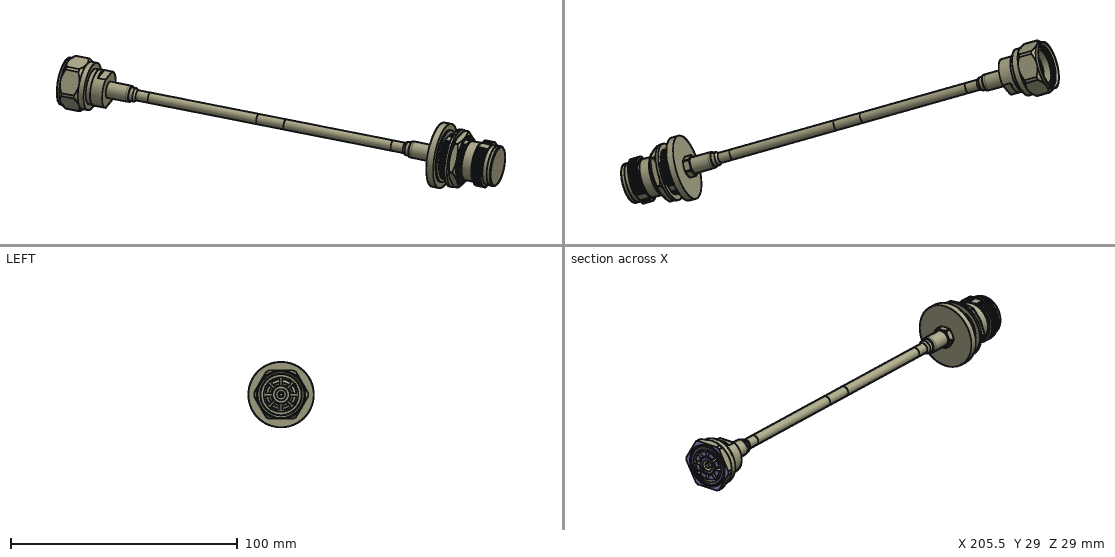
import cadquery as cq
import math


NUT_LENGTH = 12.7
PLUG_BACK = 20.5
CABLE_START = 39.9
CABLE_END = 155.4
SLEEVE_START = 91.5
SLEEVE_END = 104.4
COLLAR_START = 174.0
FLANGE_START = 177.1
FLANGE_END = 180.5
SEAL_END = 181.0
WASHER_START = 185.2
WASHER_THICKNESS = 1.2
PANEL_NUT_START = WASHER_START + WASHER_THICKNESS
PANEL_NUT_LENGTH = 3.5
NECK_START = 191.1
MATING_THREAD_START = 196.9
TIP_START = 201.5
TIP_LINE = 203.7
JACK_END = 205.5

NUT_RADIUS = 10.7
NUT_CORNER_RADIUS = 12.0
NUT_HEX_START = 1.2
NUT_HEX_END = 10.0
NUT_HEX_CHAMFER = 1.5
NUT_THREAD_BORE = 9.2
NUT_THREAD_ROOT = 9.9
NUT_MOUTH_RADIUS = 10.3
NUT_THREAD_START = 0.8
NUT_BORE_DEPTH = 9.0

PLUG_NECK_RADIUS = 8.0
PLUG_HEAD_RADIUS = 8.2
PLUG_NECK_END = 14.8
PLUG_FLAT_START = 16.9
PLUG_FLAT_HEIGHT = 7.2
PLUG_RIM_RADIUS = 9.0
PLUG_RIM_BORE = 7.6
PLUG_RIM_FRONT = 2.5
PLUG_CAVITY_FLOOR = 10.3
BASKET_RADIUS = 6.8
BASKET_BORE = 4.3
BASKET_TIP_RADIUS = 5.3
BASKET_TIP_LENGTH = 0.8
SLOT_COUNT = 8
BASKET_FRONT = 5.0
SLOT_WIDTH = 1.2
INSULATOR_RADIUS = 4.0
INSULATOR_BORE = 2.5
INSULATOR_FRONT = 6.2
PIN_RADIUS = 1.2
PIN_TIP_RADIUS = 0.8
PIN_TIP_LENGTH = 1.0
PIN_FRONT = 3.3

CABLE_RADIUS = 2.36
SLEEVE_THICKNESS = 0.6
FERRULE_RADIUS = 3.7
FERRULE_LIP_RADIUS = 3.6
FERRULE_STEP_RADIUS = 3.0
FERRULE_TAIL = 5.8
FERRULE_CONE = 7.0
FERRULE_STEP = 8.8
FERRULE_LIP = 10.0

COLLAR_FLAT = 4.3
COLLAR_CORNER_RADIUS = 4.83
COLLAR_CHAMFER = 0.2
FLANGE_RADIUS = 14.49
SEAL_RADIUS = 11.7
THREAD_CREST = 10.3
THREAD_ROOT = 9.2
THREAD_PITCH = 1.0
JACK_FLAT_HEIGHT = 9.0
NECK_RADIUS = 8.8
NECK_CONE = 0.6
TIP_RADIUS = 9.0
TIP_STEP = 0.2
TIP_CHAMFER = 0.5

WASHER_RADIUS = 13.0
PANEL_NUT_FLAT = 11.0
PANEL_NUT_CORNER_RADIUS = 12.7
PANEL_NUT_CHAMFER = 1.0
PANEL_NUT_END_RADIUS = 10.9


def turned(profile):
    """Revolve a closed (x, radius) profile about the X axis."""
    return cq.Workplane("XY").polyline(profile).close().revolve(360, (0, 0), (1, 0))


def disc(start, end, radius):
    return turned([(start, 0), (start, radius), (end, radius), (end, 0)])


def ring(start, end, radius, bore):
    return turned([(start, bore), (start, radius), (end, radius), (end, bore)])


def hexagon(start, end, flat_distance):
    """Hexagonal bar along X with flats facing +Z and -Z."""
    corner_diameter = 2 * flat_distance / math.cos(math.pi / 6)
    return cq.Workplane("YZ", origin=(start, 0, 0)).polygon(6, corner_diameter).extrude(end - start)


def chamfered_hexagon(start, end, flat_distance, corner_radius, chamfer, end_radius):
    """Hexagonal bar whose corners are turned round and chamfered at both ends."""
    envelope = turned([
        (start, 0),
        (start, end_radius),
        (start + chamfer, corner_radius),
        (end - chamfer, corner_radius),
        (end, end_radius),
        (end, 0),
    ])
    return hexagon(start, end, flat_distance).intersect(envelope)


def between_flats(start, end, half_height, radius):
    """Slab that trims a round part to two flats facing +Z and -Z."""
    length = end - start
    return cq.Workplane("XY", origin=(start + length / 2, 0, 0)).box(length, 2 * radius, 2 * half_height)


def ferrule(tail_end, connector_end):
    """Stepped crimp ferrule; it may point either way along X."""
    direction = math.copysign(1, connector_end - tail_end)

    def at(distance):
        return tail_end + direction * distance

    return turned([
        (tail_end, 0),
        (tail_end, CABLE_RADIUS),
        (at(FERRULE_TAIL), CABLE_RADIUS),
        (at(FERRULE_CONE), FERRULE_STEP_RADIUS),
        (at(FERRULE_STEP), FERRULE_STEP_RADIUS),
        (at(FERRULE_STEP), FERRULE_LIP_RADIUS),
        (at(FERRULE_LIP), FERRULE_RADIUS),
        (connector_end, FERRULE_RADIUS),
        (connector_end, 0),
    ])


def thread_form(start, end, inner, outer):
    """Round bar with a row of flat-topped rings standing in for a thread."""
    count = round((end - start) / THREAD_PITCH)
    spacing = (end - start) / count
    profile = [(start, 0)]
    for i in range(count):
        valley = start + i * spacing
        profile.append((valley, inner))
        profile.append((valley + spacing / 4, inner))
        profile.append((valley + spacing / 2, outer))
        profile.append((valley + spacing * 3 / 4, outer))
    profile += [(end, inner), (end, 0)]
    return turned(profile)


def make_coupling_nut():
    nut = disc(0, NUT_LENGTH, NUT_RADIUS).union(chamfered_hexagon(
        NUT_HEX_START, NUT_HEX_END, NUT_RADIUS, NUT_CORNER_RADIUS, NUT_HEX_CHAMFER, NUT_RADIUS))
    mouth = turned([
        (0, 0),
        (0, NUT_MOUTH_RADIUS),
        (NUT_THREAD_START, NUT_THREAD_BORE),
        (NUT_THREAD_START, 0),
    ])
    thread = thread_form(NUT_THREAD_START, NUT_BORE_DEPTH, NUT_THREAD_BORE, NUT_THREAD_ROOT)
    neck_hole = disc(NUT_BORE_DEPTH, NUT_LENGTH, PLUG_NECK_RADIUS)
    return nut.cut(mouth).cut(thread).cut(neck_hole)


def make_contact_basket():
    """Ring of tapered contact fingers parted by radial slots."""
    basket = turned([
        (BASKET_FRONT, BASKET_BORE),
        (BASKET_FRONT, BASKET_TIP_RADIUS),
        (BASKET_FRONT + BASKET_TIP_LENGTH, BASKET_RADIUS),
        (PLUG_CAVITY_FLOOR, BASKET_RADIUS),
        (PLUG_CAVITY_FLOOR, BASKET_BORE),
    ])
    slot_depth = PLUG_CAVITY_FLOOR - BASKET_FRONT
    for i in range(SLOT_COUNT // 2):
        slot = (
            cq.Workplane("XY", origin=(BASKET_FRONT + slot_depth / 2, 0, 0))
            .box(slot_depth, 2 * BASKET_RADIUS, SLOT_WIDTH)
            .rotate((0, 0, 0), (1, 0, 0), i * 360 / SLOT_COUNT)
        )
        basket = basket.cut(slot)
    return basket


def make_pin():
    """Centre contact with a tapered tip."""
    return turned([
        (PIN_FRONT, 0),
        (PIN_FRONT, PIN_TIP_RADIUS),
        (PIN_FRONT + PIN_TIP_LENGTH, PIN_RADIUS),
        (PLUG_CAVITY_FLOOR, PIN_RADIUS),
        (PLUG_CAVITY_FLOOR, 0),
    ])


def make_plug():
    shell = turned([
        (PLUG_CAVITY_FLOOR, 0),
        (PLUG_CAVITY_FLOOR, PLUG_RIM_BORE),
        (PLUG_RIM_FRONT, PLUG_RIM_BORE),
        (PLUG_RIM_FRONT, PLUG_RIM_RADIUS),
        (NUT_BORE_DEPTH, PLUG_RIM_RADIUS),
        (NUT_BORE_DEPTH, PLUG_NECK_RADIUS),
        (PLUG_NECK_END, PLUG_NECK_RADIUS),
        (PLUG_NECK_END, PLUG_HEAD_RADIUS),
        (PLUG_FLAT_START, PLUG_HEAD_RADIUS),
        (PLUG_FLAT_START, 0),
    ])
    wrench_end = disc(PLUG_FLAT_START, PLUG_BACK, PLUG_HEAD_RADIUS).intersect(
        between_flats(PLUG_FLAT_START, PLUG_BACK, PLUG_FLAT_HEIGHT, PLUG_HEAD_RADIUS))
    return (
        shell
        .union(wrench_end)
        .union(make_contact_basket())
        .union(ring(INSULATOR_FRONT, PLUG_CAVITY_FLOOR, INSULATOR_RADIUS, INSULATOR_BORE))
        .union(make_pin())
        .union(ferrule(CABLE_START, PLUG_BACK))
    )


def make_cable():
    """Cable with a shallow groove that the marker sleeve fills flush."""
    groove_radius = CABLE_RADIUS - SLEEVE_THICKNESS
    return turned([
        (CABLE_START, 0),
        (CABLE_START, CABLE_RADIUS),
        (SLEEVE_START, CABLE_RADIUS),
        (SLEEVE_START, groove_radius),
        (SLEEVE_END, groove_radius),
        (SLEEVE_END, CABLE_RADIUS),
        (CABLE_END, CABLE_RADIUS),
        (CABLE_END, 0),
    ])


def make_marker_sleeve():
    bore = CABLE_RADIUS - SLEEVE_THICKNESS
    return ring(SLEEVE_START, SLEEVE_END, CABLE_RADIUS, bore)


def make_jack():
    collar = chamfered_hexagon(
        COLLAR_START, FLANGE_START, COLLAR_FLAT, COLLAR_CORNER_RADIUS, COLLAR_CHAMFER, COLLAR_FLAT)
    flange = disc(FLANGE_START, FLANGE_END, FLANGE_RADIUS)
    seal = disc(FLANGE_END, SEAL_END, SEAL_RADIUS)
    neck = turned([
        (NECK_START, 0),
        (NECK_START, THREAD_ROOT),
        (NECK_START + NECK_CONE, NECK_RADIUS),
        (MATING_THREAD_START - NECK_CONE, NECK_RADIUS),
        (MATING_THREAD_START, THREAD_ROOT),
        (MATING_THREAD_START, 0),
    ])
    threaded_barrel = (
        thread_form(SEAL_END, NECK_START, THREAD_ROOT, THREAD_CREST)
        .union(neck)
        .union(thread_form(MATING_THREAD_START, TIP_START, THREAD_ROOT, THREAD_CREST))
        .intersect(between_flats(SEAL_END, TIP_START, JACK_FLAT_HEIGHT, THREAD_CREST))
    )
    tip = turned([
        (TIP_START, 0),
        (TIP_START, TIP_RADIUS - TIP_STEP),
        (TIP_LINE, TIP_RADIUS - TIP_STEP),
        (TIP_LINE, TIP_RADIUS),
        (JACK_END - TIP_CHAMFER, TIP_RADIUS),
        (JACK_END, TIP_RADIUS - TIP_CHAMFER),
        (JACK_END, 0),
    ])
    jack = ferrule(CABLE_END, COLLAR_START)
    for section in (collar, flange, seal, threaded_barrel, tip):
        jack = jack.union(section)
    return jack


def make_washer():
    return ring(WASHER_START, PANEL_NUT_START, WASHER_RADIUS, THREAD_CREST)


def make_panel_nut():
    end = PANEL_NUT_START + PANEL_NUT_LENGTH
    nut = chamfered_hexagon(PANEL_NUT_START, end, PANEL_NUT_FLAT, PANEL_NUT_CORNER_RADIUS,
                            PANEL_NUT_CHAMFER, PANEL_NUT_END_RADIUS)
    return nut.cut(disc(PANEL_NUT_START, end, THREAD_CREST))


coupling_nut = make_coupling_nut()
plug = make_plug()
cable = make_cable()
marker_sleeve = make_marker_sleeve()
jack = make_jack()
washer = make_washer()
panel_nut = make_panel_nut()

result = cq.Compound.makeCompound([
    coupling_nut.val(),
    plug.val(),
    cable.val(),
    marker_sleeve.val(),
    jack.val(),
    washer.val(),
    panel_nut.val(),
])